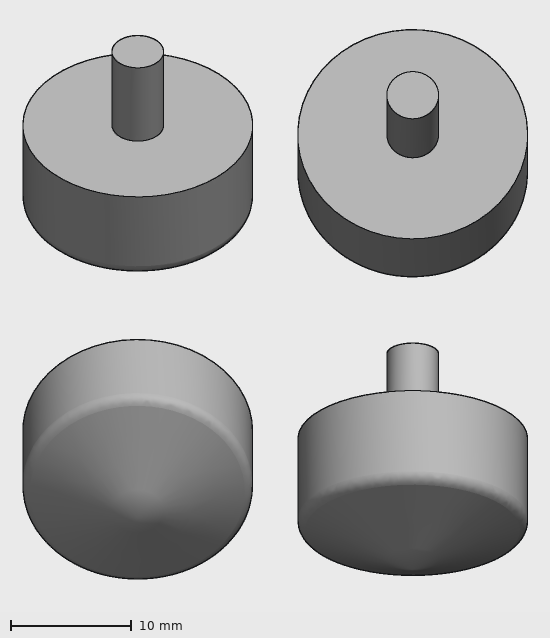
import cadquery as cq
import math

total_height = 19.7
body_diameter = 19.05
stem_diameter = 4.3
stem_length = 7.78
cone_slope = 22.0
edge_radius = 1.0

body_radius = body_diameter / 2
stem_radius = stem_diameter / 2
body_top = total_height - stem_length
cone_height = body_radius * math.tan(math.radians(cone_slope))


def make_body():
    """Cylinder with a conical underside and a rounded lower edge."""
    body = (
        cq.Workplane("XZ")
        .lineTo(body_radius, cone_height)
        .lineTo(body_radius, body_top)
        .lineTo(0, body_top)
        .close()
        .revolve(360, (0, 0), (0, 1))
    )
    return body.edges("%CIRCLE").edges("<Z").fillet(edge_radius)


def make_stem():
    """Round pin standing on the flat top of the body."""
    return cq.Workplane("XY").workplane(offset=body_top).circle(stem_radius).extrude(stem_length)


result = make_body().union(make_stem())